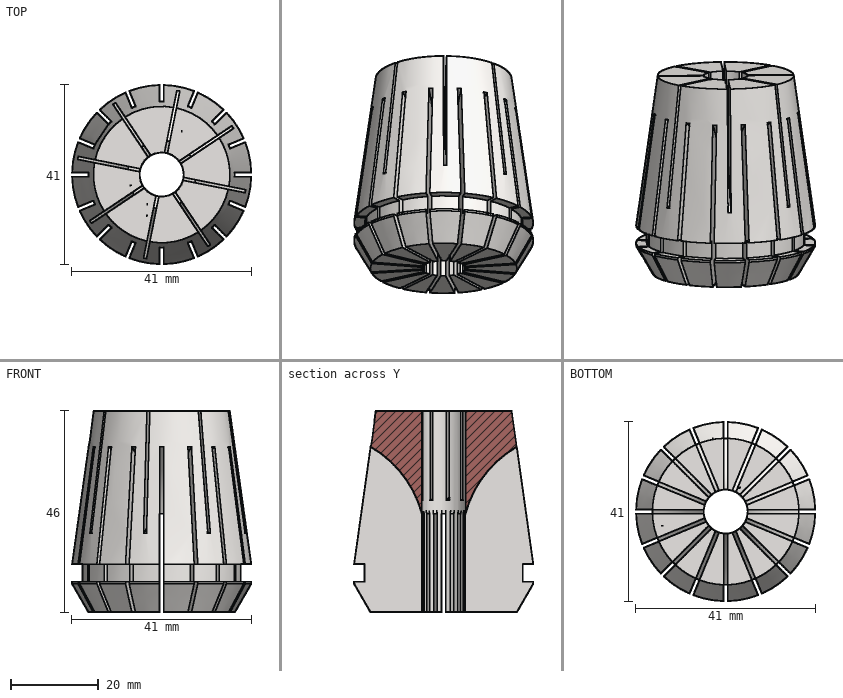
import cadquery as cq
import math

total_height = 46.0
rim_radius = 20.5
bore_radius = 5.0
nose_angle = 30.0
nose_height = 6.5
groove_bottom = 7.0
groove_top = 11.0
groove_radius = 18.1
taper_angle = 8.0

lower_slot_count = 16
lower_slot_width = 0.9
lower_slot_outer_z = 37.8
lower_slot_bore_z = 22.5
lower_saw_radius = 25.0

upper_slot_count = 8
upper_slot_width = 0.7
upper_slot_outer_z = 18.0
upper_saw_radius = 18.0
ridge_radius = 7.8
ridge_z = 26.2
dip_radius = 30.0

nose_radius = rim_radius - nose_height * math.tan(math.radians(nose_angle))
top_radius = rim_radius - (total_height - groove_top) * math.tan(math.radians(taper_angle))
upper_slot_start = 360 / lower_slot_count * 1.5

cut_margin = 1.0
clear_radius = rim_radius + cut_margin


def taper_radius(z):
    """Outer radius of the tapered body at height z."""
    return rim_radius - (z - groove_top) * math.tan(math.radians(taper_angle))


def collet_blank():
    """Revolved collet with nose cone, extraction groove, taper and through bore."""
    profile = [
        (bore_radius, 0),
        (nose_radius, 0),
        (rim_radius, nose_height),
        (rim_radius, groove_bottom),
        (groove_radius, groove_bottom),
        (groove_radius, groove_top),
        (rim_radius, groove_top),
        (top_radius, total_height),
        (bore_radius, total_height),
    ]
    return cq.Workplane("XZ").polyline(profile).close().revolve(360, (0, 0), (0, 1))


def saw_arc_mid(outer, inner, saw_radius, bulge):
    """Middle of a saw arc from outer to inner (r, z); bulge is +1 to bow upward, -1 downward."""
    dr = outer[0] - inner[0]
    dz = abs(outer[1] - inner[1])
    chord = math.hypot(dr, dz)
    sagitta = saw_radius - math.sqrt(saw_radius**2 - chord**2 / 4)
    return (
        (outer[0] + inner[0]) / 2 - sagitta * dz / chord,
        (outer[1] + inner[1]) / 2 + bulge * sagitta * dr / chord,
    )


def lower_slot_cutter():
    """Radial slot open at the bottom, its saw arc rising from the bore to the taper."""
    outer = (taper_radius(lower_slot_outer_z), lower_slot_outer_z)
    inner = (bore_radius, lower_slot_bore_z)
    return (
        cq.Workplane("XZ")
        .moveTo(0, -cut_margin)
        .lineTo(clear_radius, -cut_margin)
        .lineTo(clear_radius, lower_slot_outer_z)
        .lineTo(*outer)
        .threePointArc(saw_arc_mid(outer, inner, lower_saw_radius, 1), inner)
        .lineTo(0, lower_slot_bore_z)
        .close()
        .extrude(lower_slot_width / 2, both=True)
    )


def upper_slot_cutter():
    """Radial slot open at the top; its floor rises to a ridge, then dips in an arc to the axis."""
    clear_z = total_height + cut_margin
    outer = (taper_radius(upper_slot_outer_z), upper_slot_outer_z)
    ridge = (ridge_radius, ridge_z)
    dip_center_z = ridge_z + math.sqrt(dip_radius**2 - ridge_radius**2)
    dip_mid_r = ridge_radius / 2
    dip_mid = (dip_mid_r, dip_center_z - math.sqrt(dip_radius**2 - dip_mid_r**2))
    return (
        cq.Workplane("XZ")
        .moveTo(0, clear_z)
        .lineTo(clear_radius, clear_z)
        .lineTo(clear_radius, upper_slot_outer_z)
        .lineTo(*outer)
        .threePointArc(saw_arc_mid(outer, ridge, upper_saw_radius, -1), ridge)
        .threePointArc(dip_mid, (0, dip_center_z - dip_radius))
        .close()
        .extrude(upper_slot_width / 2, both=True)
    )


def cut_slots(body, cutter, count, start_angle):
    """Cut equally spaced copies of a slot around the collet axis."""
    for i in range(count):
        body = body.cut(cutter.rotate((0, 0, 0), (0, 0, 1), start_angle + i * 360 / count))
    return body


result = collet_blank()
result = cut_slots(result, lower_slot_cutter(), lower_slot_count, 0)
result = cut_slots(result, upper_slot_cutter(), upper_slot_count, upper_slot_start)